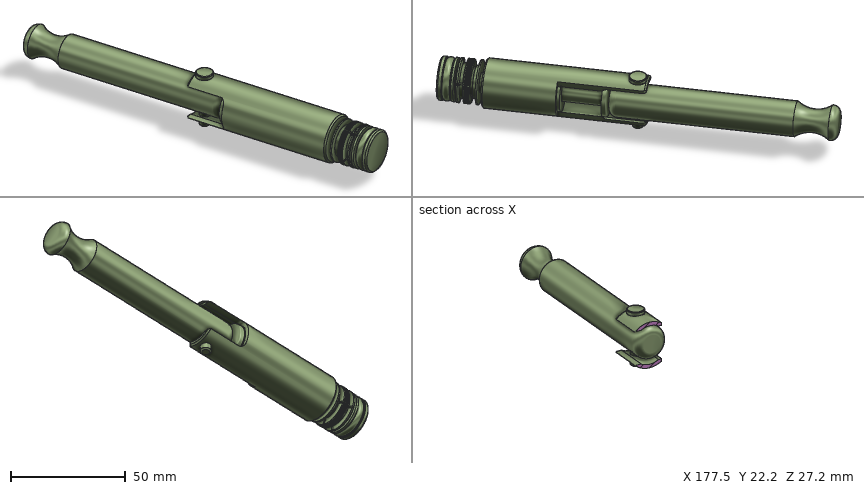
import cadquery as cq
import math

overall_length = 177.5

handle_radius = 15.8 / 2
handle_length = 101.5
handle_offset_y = 1.2
handle_end_radius = 3.5
waist_end = 19.2
waist_radius = 10.5 / 2

sleeve_radius = 22.2 / 2
sleeve_start = 85.0
sleeve_end = 157.4
sleeve_chamfer = 0.7
bore_radius = 18.3 / 2
fork_top_y = 6.0
fork_corner_radius = 1.8
fork_shoulder = 124.2
slot_half_width = 8.0
slot_end = 104.9
slot_corner_radius = 2.7

core_radius = 18.1 / 2
core_start = 122.8
plunger_start = 102.0
plunger_end = 104.3
plunger_round = 0.9
spindle_radius = 8.7 / 2

pin_x = 89.6
pin_radius = 4.8 / 2
pin_bottom = -14.4
pin_chamfer = 0.7
pin_head_radius = 8.0 / 2
pin_head_bottom = 10.8
pin_head_top = 12.8
pin_head_chamfer = 0.4

washer_radius = 19.9 / 2
washer_start = 159.3
washer_end = 160.0
hub_radius = 7.3
hub_end = 161.8
collar_radius = 6.5
collet_radius = 19.9 / 2
collet_start = 162.9
collet_end = 169.0
collet_chamfer = 0.4
vee_root_radius = 15.8 / 2
vee_center = 166.8
vee_root_half_width = 0.7
vee_half_width = 1.2
rib_groove_depth = 0.5
rib_groove_width = 0.4
rib_groove_positions = (163.8, 164.6)
slit_count = 4
slit_width = 0.9
slit_angle = 24
slit_bottom_radius = 7.3
neck_radius = 12.2 / 2
cap_radius = 19.5 / 2
ring_start = 170.0
ring_end = 171.0
ring_neck_radius = 15.8 / 2
bead_start = 171.7
bead_end = 175.0
bead_edge_radius = 8.9
cap_start = 175.3
cap_groove_radius = 9.2
cap_end_chamfer = 0.7


def cylinder_x(radius, start, end):
    """Solid cylinder on the X axis."""
    return cq.Workplane("YZ", origin=(start, 0, 0)).circle(radius).extrude(end - start)


def box_between(x_range, y_range, z_range):
    """Box spanning the given coordinate ranges."""
    sizes = [high - low for low, high in (x_range, y_range, z_range)]
    corner = (x_range[0], y_range[0], z_range[0])
    return cq.Workplane("XY").box(*sizes, centered=False).translate(corner)


def make_handle():
    """Round rod with domed ends and a waisted grip near the free end."""
    flat_radius = handle_radius - handle_end_radius
    arc_offset = handle_end_radius * math.sin(math.radians(45))
    waist_start = handle_end_radius
    dome_start = handle_length - handle_end_radius
    profile = (
        cq.Workplane("XY")
        .lineTo(0, flat_radius)
        .threePointArc(
            (handle_end_radius - arc_offset, flat_radius + arc_offset),
            (waist_start, handle_radius),
        )
        .threePointArc(((waist_start + waist_end) / 2, waist_radius), (waist_end, handle_radius))
        .lineTo(dome_start, handle_radius)
        .threePointArc(
            (dome_start + arc_offset, flat_radius + arc_offset),
            (handle_length, flat_radius),
        )
        .lineTo(handle_length, 0)
        .close()
    )
    return profile.revolve(360, (0, 0, 0), (1, 0, 0)).translate((0, handle_offset_y, 0))


def make_sleeve():
    """Bored sleeve whose left end is cut into two fork ears."""
    sleeve = cylinder_x(sleeve_radius, sleeve_start, sleeve_end).edges().chamfer(sleeve_chamfer)
    sleeve = sleeve.cut(cylinder_x(bore_radius, sleeve_start, core_start))

    plan = box_between(
        (sleeve_start, sleeve_end), (-sleeve_radius, fork_top_y), (-sleeve_radius, sleeve_radius)
    )
    plan = plan.edges("|Z and <X and >Y").fillet(fork_corner_radius)
    barrel = box_between(
        (fork_shoulder, sleeve_end), (-sleeve_radius, sleeve_radius), (-sleeve_radius, sleeve_radius)
    )
    sleeve = sleeve.intersect(plan.union(barrel))

    slot = box_between(
        (sleeve_start, slot_end),
        (-sleeve_radius, sleeve_radius),
        (-slot_half_width, slot_half_width),
    )
    slot = slot.edges("|Y and >X").fillet(slot_corner_radius)
    return sleeve.cut(slot)


def make_inner_parts():
    """Plunger disc, core plug and the spindle through the sleeve."""
    plunger = cylinder_x(core_radius, plunger_start, plunger_end).faces("<X").edges().fillet(plunger_round)
    core = cylinder_x(core_radius, core_start, sleeve_end - sleeve_chamfer)
    spindle = cylinder_x(spindle_radius, plunger_start, washer_end)
    return spindle.union(plunger).union(core)


def make_pin():
    """Headed pivot pin across the fork."""
    shank = (
        cq.Workplane("XY", origin=(pin_x, 0, pin_bottom))
        .circle(pin_radius)
        .extrude(pin_head_top - pin_bottom)
        .faces("<Z")
        .chamfer(pin_chamfer)
    )
    head = (
        cq.Workplane("XY", origin=(pin_x, 0, pin_head_bottom))
        .circle(pin_head_radius)
        .extrude(pin_head_top - pin_head_bottom)
        .faces(">Z")
        .chamfer(pin_head_chamfer)
    )
    return shank.union(head)


def make_collet():
    """Collar with a V groove, two fine grooves and evenly spaced slits."""
    collet = cylinder_x(collet_radius, collet_start, collet_end).edges().chamfer(collet_chamfer)
    vee = (
        cq.Workplane("XY")
        .moveTo(vee_center - vee_half_width, collet_radius)
        .lineTo(vee_center - vee_root_half_width, vee_root_radius)
        .lineTo(vee_center + vee_root_half_width, vee_root_radius)
        .lineTo(vee_center + vee_half_width, collet_radius)
        .close()
        .revolve(360, (0, 0, 0), (1, 0, 0))
    )
    collet = collet.cut(vee)
    for groove_start in rib_groove_positions:
        groove_end = groove_start + rib_groove_width
        groove = cylinder_x(collet_radius, groove_start, groove_end).cut(
            cylinder_x(collet_radius - rib_groove_depth, groove_start, groove_end)
        )
        collet = collet.cut(groove)
    slit = box_between(
        (collet_start, collet_end),
        (-collet_radius, -slit_bottom_radius),
        (-slit_width / 2, slit_width / 2),
    )
    for index in range(slit_count):
        angle = slit_angle + index * 360 / slit_count
        collet = collet.cut(slit.rotate((0, 0, 0), (1, 0, 0), angle))
    return collet


def make_bead():
    """Disc with a crowned rim, next to the end cap."""
    profile = (
        cq.Workplane("XY")
        .moveTo(bead_start, 0)
        .lineTo(bead_start, bead_edge_radius)
        .threePointArc(((bead_start + bead_end) / 2, cap_radius), (bead_end, bead_edge_radius))
        .lineTo(bead_end, 0)
        .close()
    )
    return profile.revolve(360, (0, 0, 0), (1, 0, 0))


def make_coupling():
    """Stack of discs, necks and the end cap beyond the sleeve."""
    cap = cylinder_x(cap_radius, cap_start, overall_length)
    cap = cap.faces(">X").edges().chamfer(cap_end_chamfer)
    stack = cylinder_x(washer_radius, washer_start, washer_end)
    stack = stack.union(cylinder_x(hub_radius, washer_end, hub_end))
    stack = stack.union(cylinder_x(collar_radius, hub_end, collet_start))
    stack = stack.union(make_collet())
    stack = stack.union(cylinder_x(neck_radius, collet_end, ring_start))
    stack = stack.union(cylinder_x(cap_radius, ring_start, ring_end))
    stack = stack.union(cylinder_x(ring_neck_radius, ring_end, bead_start))
    stack = stack.union(make_bead())
    stack = stack.union(cylinder_x(cap_groove_radius, bead_end, cap_start))
    return stack.union(cap)


result = (
    make_sleeve()
    .union(make_inner_parts())
    .union(make_coupling())
    .union(make_handle())
    .union(make_pin())
)